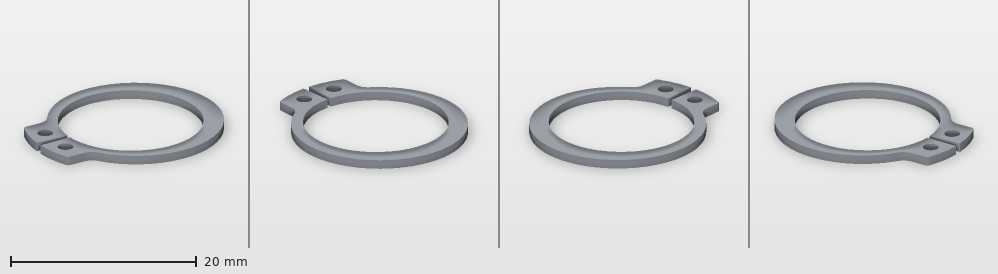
import cadquery as cq
import math

overall_length = 21.8
overall_width = 19.08
thickness = 1.0
bore_radius = 7.85
rim_radius = overall_width / 2
rim_offset = 0.6
lug_half_width = 4.55
neck_radius = 1.61
corner_radius = 0.33
gap_half_angle = 1.9
hole_diameter = 1.7
hole_x = 2.1
hole_y = -9.53

lug_reach = overall_length - rim_radius - rim_offset
lug_tip_radius = lug_reach / math.cos(math.radians(gap_half_angle))


def make_body():
    """Rim disc joined to the lug block, with blended necks and corners."""
    rim = cq.Workplane("XY").center(0, rim_offset).circle(rim_radius).extrude(thickness)
    lug_block = (
        cq.Workplane("XY")
        .rect(2 * lug_half_width, 4 * lug_tip_radius)
        .extrude(thickness)
    )
    lower_half = (
        cq.Workplane("XY")
        .center(0, -lug_tip_radius)
        .rect(4 * lug_tip_radius, 2 * lug_tip_radius)
        .extrude(thickness)
    )
    tip_disc = cq.Workplane("XY").circle(lug_tip_radius).extrude(thickness)
    lugs = lug_block.intersect(lower_half).intersect(tip_disc)
    body = rim.union(lugs)

    neck_y = rim_offset - math.sqrt(rim_radius**2 - lug_half_width**2)
    corner_y = -math.sqrt(lug_tip_radius**2 - lug_half_width**2)
    for y, radius in ((neck_y, neck_radius), (corner_y, corner_radius)):
        for x in (-lug_half_width, lug_half_width):
            edge = cq.selectors.NearestToPointSelector((x, y, thickness / 2))
            body = body.edges("|Z").edges(edge).fillet(radius)
    return body


def make_gap():
    """Wedge that separates the two lugs."""
    depth = 2 * lug_tip_radius
    half_width = depth * math.tan(math.radians(gap_half_angle))
    return (
        cq.Workplane("XY")
        .polyline([(0, 0), (-half_width, -depth), (half_width, -depth)])
        .close()
        .extrude(thickness)
    )


bore = cq.Workplane("XY").circle(bore_radius).extrude(thickness)
plier_holes = (
    cq.Workplane("XY")
    .pushPoints([(-hole_x, hole_y), (hole_x, hole_y)])
    .circle(hole_diameter / 2)
    .extrude(thickness)
)

result = make_body().cut(bore).cut(make_gap()).cut(plier_holes)